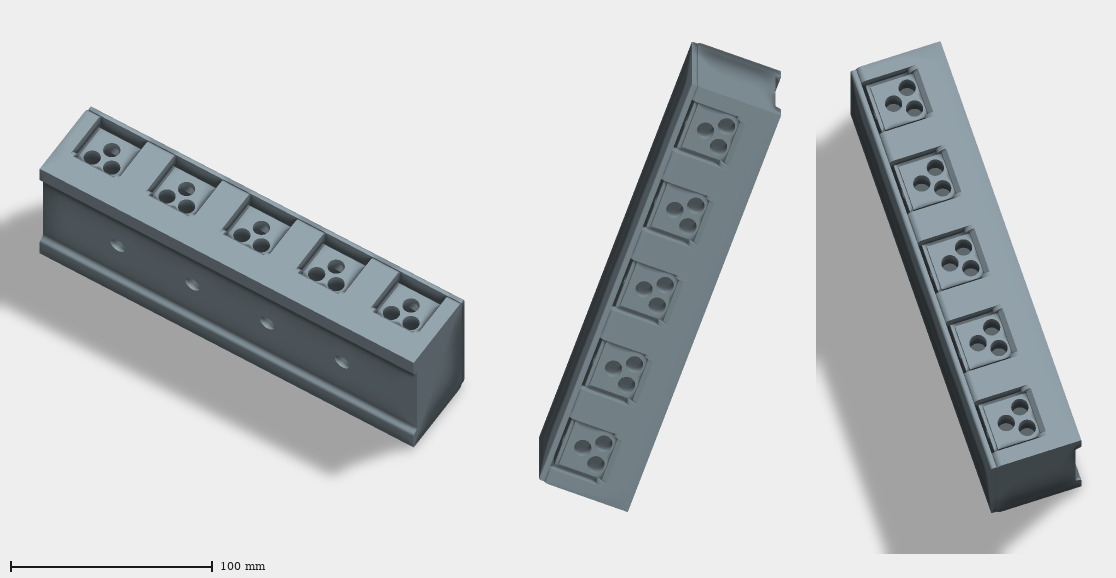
import cadquery as cq
import math

LENGTH = 220.0
DEPTH = 47.0
HEIGHT = 72.0
FRONT_Y = -DEPTH / 2
REAR_Y = DEPTH / 2
TOP_Z = HEIGHT / 2

COVER_THICKNESS = 2.0
COVER_LENGTH = 219.3
COVER_INSET = 1.3
COVER_ROUND = 1.3
GASKET_THICKNESS = 0.9
COVER_HEIGHT = HEIGHT - 2 * COVER_INSET
COVER_FRONT_Y = REAR_Y - COVER_THICKNESS
HOUSING_REAR_Y = COVER_FRONT_Y - GASKET_THICKNESS

HOUSING_ROUND = 2.9
GROOVE_DEPTH = 3.0
GROOVE_FLOOR_HALF = 24.0
GROOVE_FLANK_ANGLE = 60.0
GROOVE_ROUND = 1.8
GROOVE_FLOOR_Y = FRONT_Y + GROOVE_DEPTH
GROOVE_MOUTH_HALF = GROOVE_FLOOR_HALF + GROOVE_DEPTH / math.tan(math.radians(GROOVE_FLANK_ANGLE))

STATION_COUNT = 5
STATION_PITCH = 44.0
STATION_XS = [(i - (STATION_COUNT - 1) / 2) * STATION_PITCH for i in range(STATION_COUNT)]

POCKET_WIDTH = 28.2
LIP_ROUND = 4.6
FLOOR_ROUND = 3.0
POCKET_FRONT_Y = -8.4
POCKET_WALL_Y = POCKET_FRONT_Y + LIP_ROUND
POCKET_FLOOR_Y = POCKET_WALL_Y + FLOOR_ROUND
POCKET_FLOOR_Z = TOP_Z - LIP_ROUND - FLOOR_ROUND

BAR_FRONT_Y = -6.0
BAR_REAR_Y = 18.3
BAR_LENGTH = (STATION_COUNT - 1) * STATION_PITCH + POCKET_WIDTH
BLOCK_WIDTH = 23.8
BLOCK_REAR_Y = 16.5
BLOCK_TOP_Z = 30.8
NOTCH_SLOPE_HEIGHT = 3.0

HOLE_DIAMETER = 8.5
WIRE_HOLE_DEPTH = 13.2
SINGLE_HOLE_Y = 8.4
PAIR_HOLE_Y = -0.7
PAIR_HOLE_X = 5.7
SCREW_BORE_DIAMETER = 6.2
SCREW_BORE_Z = 24.2


def span_box(x_center, x_size, y_range, z_range):
    """A box centred at x_center that fills the given Y and Z ranges."""
    y0, y1 = y_range
    z0, z1 = z_range
    return cq.Workplane("XY").box(x_size, y1 - y0, z1 - z0, centered=(True, False, False)).translate(
        (x_center, y0, z0)
    )


def extrude_profile(profile, x_center, x_size):
    """Extrudes a closed YZ profile along X, centred at x_center."""
    return profile.extrude(x_size / 2, both=True).translate((x_center, 0, 0))


def with_mirror(shape):
    """The shape together with its copy mirrored in the XY plane."""
    return shape.union(shape.mirror("XY"))


def at_stations(make_feature):
    """One feature per station, above and below the XY plane."""
    features = with_mirror(make_feature(STATION_XS[0]))
    for x in STATION_XS[1:]:
        features = features.union(with_mirror(make_feature(x)))
    return features


def housing_blank():
    """Grooved bar with rounded groove flanks and rounded long rear edges."""
    blank = (
        cq.Workplane("YZ")
        .moveTo(FRONT_Y, TOP_Z)
        .lineTo(FRONT_Y, GROOVE_MOUTH_HALF)
        .lineTo(GROOVE_FLOOR_Y, GROOVE_FLOOR_HALF)
        .lineTo(GROOVE_FLOOR_Y, -GROOVE_FLOOR_HALF)
        .lineTo(FRONT_Y, -GROOVE_MOUTH_HALF)
        .lineTo(FRONT_Y, -TOP_Z)
        .lineTo(HOUSING_REAR_Y, -TOP_Z)
        .lineTo(HOUSING_REAR_Y, TOP_Z)
        .close()
        .extrude(LENGTH / 2, both=True)
    )
    groove_box = cq.selectors.BoxSelector(
        (-LENGTH, FRONT_Y - GROOVE_DEPTH, -GROOVE_MOUTH_HALF - GROOVE_ROUND),
        (LENGTH, GROOVE_FLOOR_Y + GROOVE_DEPTH, GROOVE_MOUTH_HALF + GROOVE_ROUND),
    )
    blank = blank.edges(groove_box).edges("|X").fillet(GROOVE_ROUND)
    return blank.edges("|X and >Y").fillet(HOUSING_ROUND)


def pocket(x):
    """Pocket open at the top and the rear, with an S-shaped front wall."""
    wall_z = TOP_Z - LIP_ROUND
    profile = (
        cq.Workplane("YZ")
        .moveTo(POCKET_FRONT_Y, TOP_Z)
        .radiusArc((POCKET_WALL_Y, wall_z), LIP_ROUND)
        .radiusArc((POCKET_FLOOR_Y, POCKET_FLOOR_Z), -FLOOR_ROUND)
        .lineTo(HOUSING_REAR_Y, POCKET_FLOOR_Z)
        .lineTo(HOUSING_REAR_Y, TOP_Z)
        .close()
    )
    return extrude_profile(profile, x, POCKET_WIDTH)


def block_notch(x):
    """Notch in the pocket's front wall that a block fits, with a sloped mouth."""
    profile = (
        cq.Workplane("YZ")
        .moveTo(BAR_FRONT_Y, POCKET_FLOOR_Z)
        .lineTo(BAR_FRONT_Y, TOP_Z - NOTCH_SLOPE_HEIGHT)
        .lineTo(POCKET_FRONT_Y, TOP_Z)
        .lineTo(POCKET_FLOOR_Y, TOP_Z)
        .lineTo(POCKET_FLOOR_Y, POCKET_FLOOR_Z)
        .close()
    )
    return extrude_profile(profile, x, BLOCK_WIDTH)


def bar_cavity():
    """Cavity that the terminal bar lies in, open at the rear."""
    return span_box(0, BAR_LENGTH, (BAR_FRONT_Y, HOUSING_REAR_Y), (-POCKET_FLOOR_Z, POCKET_FLOOR_Z))


def mounting_holes():
    """Holes from the front groove to the cavity, midway between stations."""
    xs = [x + STATION_PITCH / 2 for x in STATION_XS[:-1]]
    return (
        cq.Workplane("XZ", origin=(0, BAR_FRONT_Y, 0))
        .pushPoints([(x, 0) for x in xs])
        .circle(HOLE_DIAMETER / 2)
        .extrude(BAR_FRONT_Y - FRONT_Y)
    )


def make_housing():
    housing = housing_blank().cut(bar_cavity()).cut(at_stations(pocket)).cut(at_stations(block_notch))
    return housing.cut(mounting_holes())


def block(x):
    """Raised block standing on the bar."""
    return span_box(x, BLOCK_WIDTH, (BAR_FRONT_Y, BLOCK_REAR_Y), (POCKET_FLOOR_Z, BLOCK_TOP_Z))


def wire_holes(x):
    """Three blind holes in a triangle, sunk into the top of a block."""
    centers = [
        (x, SINGLE_HOLE_Y),
        (x - PAIR_HOLE_X, PAIR_HOLE_Y),
        (x + PAIR_HOLE_X, PAIR_HOLE_Y),
    ]
    return (
        cq.Workplane("XY", origin=(0, 0, BLOCK_TOP_Z))
        .pushPoints(centers)
        .circle(HOLE_DIAMETER / 2)
        .extrude(-WIRE_HOLE_DEPTH)
    )


def screw_bore(x):
    """Bore from the rear that meets the single wire hole."""
    return (
        cq.Workplane("XZ", origin=(x, BAR_REAR_Y, SCREW_BORE_Z))
        .circle(SCREW_BORE_DIAMETER / 2)
        .extrude(BAR_REAR_Y - SINGLE_HOLE_Y)
    )


def make_terminal_bar():
    bar = span_box(0, BAR_LENGTH, (BAR_FRONT_Y, BAR_REAR_Y), (-POCKET_FLOOR_Z, POCKET_FLOOR_Z))
    bar = bar.union(at_stations(block))
    return bar.cut(at_stations(wire_holes)).cut(at_stations(screw_bore))


def make_gasket():
    return span_box(
        0, COVER_LENGTH, (HOUSING_REAR_Y, COVER_FRONT_Y), (-COVER_HEIGHT / 2, COVER_HEIGHT / 2)
    )


def make_cover():
    plate = span_box(0, COVER_LENGTH, (COVER_FRONT_Y, REAR_Y), (-COVER_HEIGHT / 2, COVER_HEIGHT / 2))
    return plate.edges("|X and >Y").fillet(COVER_ROUND)


housing = make_housing()
terminal_bar = make_terminal_bar()
gasket = make_gasket()
cover = make_cover()

result = cq.Compound.makeCompound([housing.val(), terminal_bar.val(), gasket.val(), cover.val()])